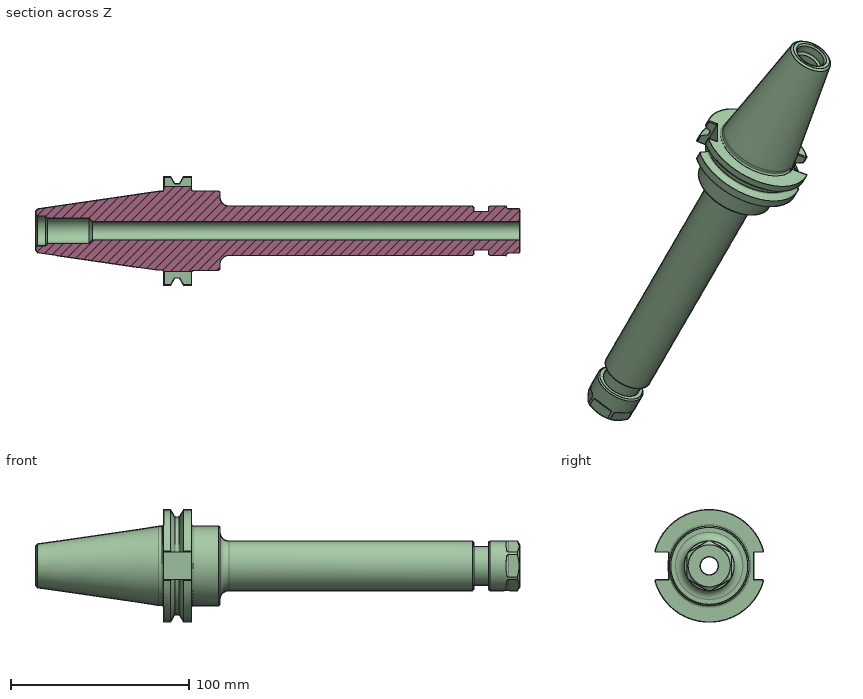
import cadquery as cq
import math

TOTAL_LENGTH = 271.5
TAPER_END = 69.0
FLANGE_START = 71.7
FLANGE_END = 87.5
COLLAR_END = 103.5
SHANK_END = 245.7
NUT_START = 253.8
HEX_START = 264.0

GAUGE_DIAMETER = 44.5
FLANGE_DIAMETER = 63.3
COLLAR_DIAMETER = 44.8
SHANK_DIAMETER = 28.0
NECK_DIAMETER = 22.0
NUT_DIAMETER = SHANK_DIAMETER
NUT_FACE_DIAMETER = 23.5
TAPER_RATIO = 7 / 24

TIP_CHAMFER = 1.0
EDGE_CHAMFER = 0.8
SHANK_FILLET = 5.0
FLANGE_FILLET = 0.8
HEX_FILLET = 1.4
NUT_FACE_CHAMFER = 1.4

GROOVE_CENTER = 79.3
GROOVE_DEPTH = 4.0
GROOVE_FLOOR_WIDTH = 2.7
GROOVE_FILLET = 0.5
GROOVE_HALF_ANGLE = math.radians(30)

SLOT_WIDTH = 15.5
SLOT_CHAMFER = 0.5
FRONT_SLOT_FLOOR = 22.8
BACK_SLOT_FLOOR = 25.0

HEX_SIDES = 6
HEX_ACROSS_FLATS = 25.0

MOUTH_DIAMETER = 18.5
COUNTERBORE_DIAMETER = 16.5
THREAD_DIAMETER = 14.0
BORE_DIAMETER = 10.0
COUNTERBORE_DEPTH = 5.5
THREAD_DEPTH = 29.9


def revolve_profile(points):
    """Revolve (x, radius) points about the X axis."""
    return cq.Workplane("XY").polyline(points).close().revolve(360, (0, 0, 0), (1, 0, 0))


def make_body():
    gauge_r = GAUGE_DIAMETER / 2
    collar_r = COLLAR_DIAMETER / 2
    shank_r = SHANK_DIAMETER / 2
    neck_r = NECK_DIAMETER / 2
    nut_r = NUT_DIAMETER / 2
    flange_r = FLANGE_DIAMETER / 2
    tip_r = gauge_r - TAPER_RATIO * TAPER_END / 2
    tip_chamfer_r = tip_r + TAPER_RATIO * TIP_CHAMFER / 2
    profile = (
        cq.Workplane("XY")
        .lineTo(0, tip_r - TIP_CHAMFER)
        .lineTo(TIP_CHAMFER, tip_chamfer_r)
        .lineTo(TAPER_END, gauge_r)
        .lineTo(FLANGE_START - FLANGE_FILLET, gauge_r)
        .radiusArc((FLANGE_START, gauge_r + FLANGE_FILLET), -FLANGE_FILLET)
        .lineTo(FLANGE_START, flange_r)
        .lineTo(FLANGE_END, flange_r)
        .lineTo(FLANGE_END, collar_r + FLANGE_FILLET)
        .radiusArc((FLANGE_END + FLANGE_FILLET, collar_r), -FLANGE_FILLET)
        .lineTo(COLLAR_END - EDGE_CHAMFER, collar_r)
        .lineTo(COLLAR_END, collar_r - EDGE_CHAMFER)
        .lineTo(COLLAR_END, shank_r + SHANK_FILLET)
        .radiusArc((COLLAR_END + SHANK_FILLET, shank_r), -SHANK_FILLET)
        .lineTo(SHANK_END - EDGE_CHAMFER, shank_r)
        .lineTo(SHANK_END, shank_r - EDGE_CHAMFER)
        .lineTo(SHANK_END, neck_r)
        .lineTo(NUT_START, neck_r)
        .lineTo(NUT_START, nut_r - EDGE_CHAMFER)
        .lineTo(NUT_START + EDGE_CHAMFER, nut_r)
        .lineTo(TOTAL_LENGTH - NUT_FACE_CHAMFER, nut_r)
        .lineTo(TOTAL_LENGTH, NUT_FACE_DIAMETER / 2)
        .lineTo(TOTAL_LENGTH, 0)
        .close()
    )
    return profile.revolve(360, (0, 0, 0), (1, 0, 0))


def make_flange_groove():
    rim_r = FLANGE_DIAMETER / 2
    floor_r = rim_r - GROOVE_DEPTH
    half_floor = GROOVE_FLOOR_WIDTH / 2
    half_mouth = half_floor + GROOVE_DEPTH * math.tan(GROOVE_HALF_ANGLE)
    cutter = revolve_profile([
        (GROOVE_CENTER - half_floor, floor_r),
        (GROOVE_CENTER + half_floor, floor_r),
        (GROOVE_CENTER + half_mouth, rim_r),
        (GROOVE_CENTER - half_mouth, rim_r),
    ])
    floor_edges = cq.selectors.RadiusNthSelector(0)
    return cutter.edges(floor_edges).fillet(GROOVE_FILLET)


def make_drive_slot(floor_distance, side):
    """Slot through the flange with broken edges; side is -1 for -Y and +1 for +Y."""
    rim_y = FLANGE_DIAMETER / 2
    half_width = SLOT_WIDTH / 2
    half_mouth = half_width + SLOT_CHAMFER
    corner_y = math.sqrt(rim_y**2 - half_mouth**2)
    flare_y = corner_y - SLOT_CHAMFER
    outline = [
        (side * floor_distance, half_width),
        (side * flare_y, half_width),
        (side * corner_y, half_mouth),
        (side * rim_y, half_mouth),
        (side * rim_y, -half_mouth),
        (side * corner_y, -half_mouth),
        (side * flare_y, -half_width),
        (side * floor_distance, -half_width),
    ]
    face = cq.Workplane("YZ").workplane(offset=FLANGE_START)
    slot = face.polyline(outline).close().extrude(FLANGE_END - FLANGE_START)
    entrance = (
        cq.Workplane("XZ")
        .polyline([
            (FLANGE_START, half_mouth),
            (FLANGE_START + SLOT_CHAMFER, half_width),
            (FLANGE_START + SLOT_CHAMFER, -half_width),
            (FLANGE_START, -half_mouth),
        ])
        .close()
        .extrude(-side * (rim_y - floor_distance))
        .translate((0, side * floor_distance, 0))
    )
    return slot.union(entrance)


def make_wrench_flats():
    """Ring around the hexagon, with one pair of flats facing +Y and -Y."""
    across_corners = HEX_ACROSS_FLATS / math.cos(math.pi / HEX_SIDES)
    length = TOTAL_LENGTH - HEX_START
    plane = cq.Workplane("YZ").workplane(offset=HEX_START)
    ring = plane.circle(NUT_DIAMETER).extrude(length)
    hexagon = plane.transformed(rotate=(0, 0, 90)).polygon(HEX_SIDES, across_corners).extrude(length)
    return ring.cut(hexagon).faces("<X").edges("%LINE").fillet(HEX_FILLET)


def make_bore():
    mouth_r = MOUTH_DIAMETER / 2
    counterbore_r = COUNTERBORE_DIAMETER / 2
    thread_r = THREAD_DIAMETER / 2
    bore_r = BORE_DIAMETER / 2
    lead_in_end = COUNTERBORE_DEPTH + counterbore_r - thread_r
    cone_end = THREAD_DEPTH + thread_r - bore_r
    return revolve_profile([
        (0, 0),
        (0, mouth_r),
        (mouth_r - counterbore_r, counterbore_r),
        (COUNTERBORE_DEPTH, counterbore_r),
        (lead_in_end, thread_r),
        (THREAD_DEPTH, thread_r),
        (cone_end, bore_r),
        (TOTAL_LENGTH, bore_r),
        (TOTAL_LENGTH, 0),
    ])


result = (
    make_body()
    .cut(make_flange_groove())
    .cut(make_drive_slot(FRONT_SLOT_FLOOR, -1))
    .cut(make_drive_slot(BACK_SLOT_FLOOR, 1))
    .cut(make_wrench_flats())
    .cut(make_bore())
)